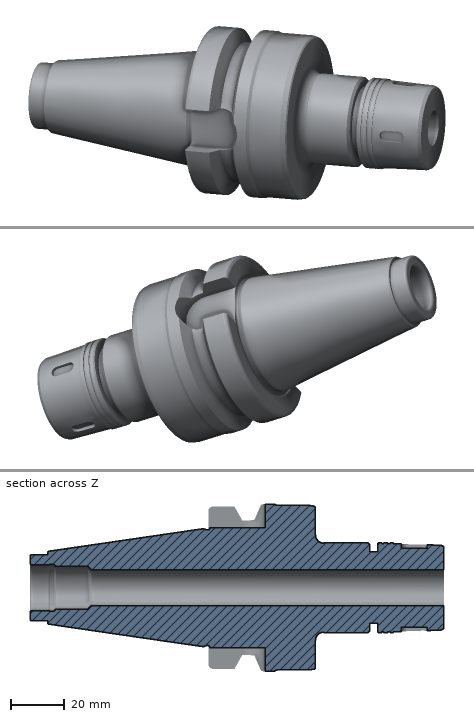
import cadquery as cq
import math

TOTAL_LENGTH = 155.4

ARC_MIDDLE = 1 - math.sqrt(0.5)

COLLAR_RADIUS = 25.0 / 2
COLLAR_ROUND = 1.0
COLLAR_END = 6.7

TAPER_SLOPE = 7 / 24 / 2
TAPER_START = 7.1
TAPER_EDGE_RADIUS = 27.0 / 2
TAPER_END = 65.1
TAPER_END_RADIUS = 22.2
TAPER_START_RADIUS = TAPER_END_RADIUS - TAPER_SLOPE * (TAPER_END - TAPER_START)

NECK_RADIUS = 43.5 / 2
NECK_START = 66.4
NECK_FILLET = 0.8
RELIEF_RADIUS = 23.5
RELIEF_DEPTH = 0.5

FLANGE_START = 67.0
FLANGE_RADIUS = 63.0 / 2
FLANGE_ROUND = 1.5
GROOVE_START = 76.8
GROOVE_FLOOR_START = 79.7
GROOVE_FLOOR_END = 84.2
GROOVE_END = 86.7
GROOVE_RADIUS = 26.4
RIM_END = 91.5

BODY_START = 92.6
BODY_RADIUS = 62.0 / 2
BODY_BEVEL_START = 104.7
BODY_BEVEL_RADIUS = 30.6
BODY_END = 107.2
BODY_CHAMFER = 0.5

ROOT_RADIUS = 33.5 / 2
ROOT_FILLET = 3.0
SHAFT_RADIUS = 34.0 / 2
SHAFT_START = 110.5
SHAFT_END = 127.6
SHAFT_CHAMFER = 1.0

NUT_NECK_RADIUS = 27.0 / 2
NUT_RADIUS = SHAFT_RADIUS
NUT_START = 130.4
NUT_EDGE = 0.5
NUT_RING_END = 136.5
NUT_CONE_RADIUS = 16.6
NUT_TIP_RADIUS = 16.0
NUT_TIP_CHAMFER = 1.2
NUT_TIP_CHAMFER_HEIGHT = 0.6
RING_GROOVE_DEPTH = 0.5
RING_GROOVES = ((132.1, 0.6), (134.3, 0.8))

WRENCH_SLOT_COUNT = 4
WRENCH_SLOT_START = 139.4
WRENCH_SLOT_END = 148.9
WRENCH_SLOT_WIDTH = 4.2
WRENCH_SLOT_FLOOR = 14.9

KEY_WIDTH = 16.2
KEY_FLOOR = 22.5
KEY_END = 88.1

BORE_RADIUS = 13.4 / 2
COUNTERBORE_RADIUS = 17.0 / 2
MOUTH_ROUND = 1.1
COUNTERBORE_END = 7.0
UNDERCUT_RADIUS = 17.4 / 2
UNDERCUT_START = 7.6
UNDERCUT_END = 9.0
STEP_RADIUS = 16.0 / 2
STEP_START = 9.8
STEP_END = 21.8


def make_body():
    """Revolve the outer outline about the X axis."""
    collar_offset = COLLAR_ROUND * ARC_MIDDLE
    flange_offset = FLANGE_ROUND * ARC_MIDDLE
    neck_offset = NECK_FILLET * ARC_MIDDLE
    root_offset = ROOT_FILLET * ARC_MIDDLE
    relief_floor = FLANGE_START + RELIEF_DEPTH

    outline = (
        cq.Workplane("XY")
        .moveTo(0, 0)
        .lineTo(0, COLLAR_RADIUS - COLLAR_ROUND)
        .threePointArc((collar_offset, COLLAR_RADIUS - collar_offset), (COLLAR_ROUND, COLLAR_RADIUS))
        .lineTo(COLLAR_END, COLLAR_RADIUS)
        .lineTo(COLLAR_END, TAPER_EDGE_RADIUS)
        .lineTo(TAPER_START, TAPER_START_RADIUS)
        .lineTo(TAPER_END, TAPER_END_RADIUS)
        .lineTo(NECK_START, NECK_RADIUS)
        .lineTo(relief_floor - NECK_FILLET, NECK_RADIUS)
        .threePointArc(
            (relief_floor - neck_offset, NECK_RADIUS + neck_offset),
            (relief_floor, NECK_RADIUS + NECK_FILLET),
        )
        .lineTo(relief_floor, RELIEF_RADIUS)
        .lineTo(FLANGE_START, RELIEF_RADIUS + RELIEF_DEPTH)
        .lineTo(FLANGE_START, FLANGE_RADIUS - FLANGE_ROUND)
        .threePointArc(
            (FLANGE_START + flange_offset, FLANGE_RADIUS - flange_offset),
            (FLANGE_START + FLANGE_ROUND, FLANGE_RADIUS),
        )
        .lineTo(GROOVE_START, FLANGE_RADIUS)
        .lineTo(GROOVE_FLOOR_START, GROOVE_RADIUS)
        .lineTo(GROOVE_FLOOR_END, GROOVE_RADIUS)
        .lineTo(GROOVE_END, FLANGE_RADIUS)
        .lineTo(RIM_END, FLANGE_RADIUS)
        .lineTo(BODY_START, BODY_RADIUS)
        .lineTo(BODY_BEVEL_START, BODY_RADIUS)
        .lineTo(BODY_END - BODY_CHAMFER, BODY_BEVEL_RADIUS)
        .lineTo(BODY_END, BODY_BEVEL_RADIUS - BODY_CHAMFER)
        .lineTo(BODY_END, ROOT_RADIUS + ROOT_FILLET)
        .threePointArc(
            (BODY_END + root_offset, ROOT_RADIUS + root_offset),
            (BODY_END + ROOT_FILLET, ROOT_RADIUS),
        )
        .lineTo(SHAFT_START - (SHAFT_RADIUS - ROOT_RADIUS), ROOT_RADIUS)
        .lineTo(SHAFT_START, SHAFT_RADIUS)
        .lineTo(SHAFT_END - SHAFT_CHAMFER, SHAFT_RADIUS)
        .lineTo(SHAFT_END, SHAFT_RADIUS - SHAFT_CHAMFER)
        .lineTo(SHAFT_END, NUT_NECK_RADIUS)
        .lineTo(NUT_START, NUT_NECK_RADIUS)
        .lineTo(NUT_START, NUT_RADIUS - NUT_EDGE)
        .lineTo(NUT_START + NUT_EDGE, NUT_RADIUS)
        .lineTo(NUT_RING_END, NUT_RADIUS)
        .lineTo(NUT_RING_END, NUT_CONE_RADIUS)
        .lineTo(TOTAL_LENGTH - NUT_TIP_CHAMFER, NUT_TIP_RADIUS)
        .lineTo(TOTAL_LENGTH, NUT_TIP_RADIUS - NUT_TIP_CHAMFER_HEIGHT)
        .lineTo(TOTAL_LENGTH, 0)
        .close()
    )
    return outline.revolve(360, (0, 0, 0), (1, 0, 0))


def make_bore():
    """Through bore with a flared, counterbored and undercut mouth at the taper end."""
    mouth_offset = MOUTH_ROUND * ARC_MIDDLE
    outline = (
        cq.Workplane("XY")
        .moveTo(0, 0)
        .lineTo(0, COUNTERBORE_RADIUS + MOUTH_ROUND)
        .threePointArc(
            (mouth_offset, COUNTERBORE_RADIUS + mouth_offset),
            (MOUTH_ROUND, COUNTERBORE_RADIUS),
        )
        .lineTo(COUNTERBORE_END, COUNTERBORE_RADIUS)
        .lineTo(UNDERCUT_START, UNDERCUT_RADIUS)
        .lineTo(UNDERCUT_END, UNDERCUT_RADIUS)
        .lineTo(STEP_START, STEP_RADIUS)
        .lineTo(STEP_END, STEP_RADIUS)
        .lineTo(STEP_END + STEP_RADIUS - BORE_RADIUS, BORE_RADIUS)
        .lineTo(TOTAL_LENGTH, BORE_RADIUS)
        .lineTo(TOTAL_LENGTH, 0)
        .close()
    )
    return outline.revolve(360, (0, 0, 0), (1, 0, 0))


def make_ring_groove(start, width):
    """Shallow square groove around the nut."""
    outer = cq.Workplane("YZ", origin=(start, 0, 0)).circle(FLANGE_RADIUS)
    return outer.circle(NUT_RADIUS - RING_GROOVE_DEPTH).extrude(width)


def make_key_slot(side):
    """Round-ended drive slot; side is +1 for the +Y slot and -1 for the -Y slot."""
    arc_center = KEY_END - KEY_WIDTH / 2
    depth = FLANGE_RADIUS - KEY_FLOOR
    y_center = side * (KEY_FLOOR + depth / 2)
    straight = (
        cq.Workplane("XY")
        .box(arc_center - TAPER_END, depth, KEY_WIDTH)
        .translate(((arc_center + TAPER_END) / 2, y_center, 0))
    )
    end = (
        cq.Workplane("XZ", origin=(arc_center, y_center, 0))
        .circle(KEY_WIDTH / 2)
        .extrude(depth / 2, both=True)
    )
    return straight.union(end)


def make_wrench_slot(angle):
    """Flat-bottomed oblong pocket in the nut, turned about the X axis."""
    length = WRENCH_SLOT_END - WRENCH_SLOT_START
    middle = (WRENCH_SLOT_START + WRENCH_SLOT_END) / 2
    slot = (
        cq.Workplane("XY", origin=(middle, 0, WRENCH_SLOT_FLOOR))
        .slot2D(length, WRENCH_SLOT_WIDTH)
        .extrude(NUT_RADIUS - WRENCH_SLOT_FLOOR)
    )
    return slot.rotate((0, 0, 0), (1, 0, 0), angle)


result = make_body().cut(make_bore())

for groove_start, groove_width in RING_GROOVES:
    result = result.cut(make_ring_groove(groove_start, groove_width))

for slot_side in (1, -1):
    result = result.cut(make_key_slot(slot_side))

for slot_index in range(WRENCH_SLOT_COUNT):
    result = result.cut(make_wrench_slot(slot_index * 360 / WRENCH_SLOT_COUNT))